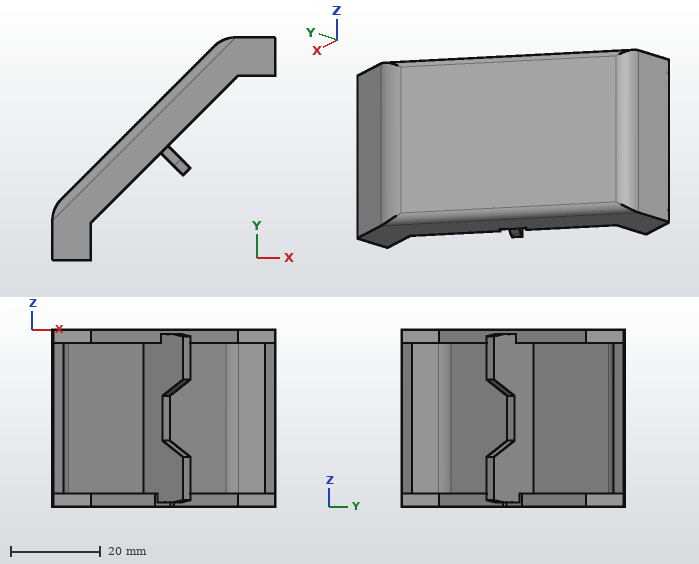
import cadquery as cq
import math

span = 49.85
height = 39.6

leg_depth = 8.65
leg_wall = 2.5
slant_wall = 3.0
flange_thickness = 3.0
end_chamfer = 0.25

slant_outer = 11.64
slant_inner = -0.3
slant_cavity = slant_outer - slant_wall * math.sqrt(2)

edge_radius = 2.0
bend_angle = math.radians(45)
corner_radius = edge_radius / (1 - math.cos(bend_angle))
cavity_radius = 4.0

tab_thickness = 2.3
tab_reach = 7.05
tab_taper_start = 4.1
tab_half_height = 18.8
tab_tip_half_height = 18.3
tab_gap_floor = 0.55
tab_gap_half_inner = 5.0
tab_gap_half_outer = 8.65

notch_width = 5.9
notch_depth = 1.0

flange_edge_to_face = (slant_outer - slant_inner) / math.sqrt(2)
cavity_floor = flange_edge_to_face - slant_wall


def mirrored(point):
    """Mirror a plan point across the diagonal x + y = span."""
    x, y = point
    return (span - y, span - x)


def corner_arc(wall_x, slant_offset, radius):
    """Start, middle and end of the arc joining the wall x = wall_x to y - x = slant_offset."""
    tangent_y = wall_x + slant_offset - radius * math.tan(bend_angle / 2)
    points = []
    for angle in (0, bend_angle / 2, bend_angle):
        x = wall_x + radius * (1 - math.cos(angle))
        y = tangent_y + radius * math.sin(angle)
        points.append((x, y))
    return points


def slant_plane():
    """Plane across the slant through the flange edge: local x outward, local y up."""
    middle = ((span - slant_inner) / 2, (span + slant_inner) / 2, 0)
    return cq.Plane(origin=middle, xDir=(-1, 1, 0), normal=(1, 1, 0))


def make_body():
    start, middle, end = corner_arc(0, slant_outer, corner_radius)
    inner_corner = (leg_depth, leg_depth + slant_inner)
    outline = (
        cq.Workplane("XY")
        .workplane(offset=-height / 2)
        .moveTo(leg_depth, 0)
        .lineTo(end_chamfer, 0)
        .lineTo(0, end_chamfer)
        .lineTo(*start)
        .threePointArc(middle, end)
        .lineTo(*mirrored(end))
        .threePointArc(mirrored(middle), mirrored(start))
        .lineTo(*mirrored((0, end_chamfer)))
        .lineTo(*mirrored((end_chamfer, 0)))
        .lineTo(*mirrored((leg_depth, 0)))
        .lineTo(*mirrored(inner_corner))
        .lineTo(*inner_corner)
        .close()
    )
    return outline.extrude(height)


def make_edge_rounding():
    """Long bar whose outer two edges are rounded; it trims the top and bottom slant edges."""
    bar = (
        cq.Workplane(slant_plane())
        .center(flange_edge_to_face - span / 2, 0)
        .rect(span, height)
        .extrude(span, both=True)
    )
    outward = cq.Vector(-1, 1, 0)
    along_slant = cq.Vector(1, 1, 0)
    outer_face = bar.faces(cq.selectors.DirectionMinMaxSelector(outward))
    return outer_face.edges(cq.selectors.ParallelDirSelector(along_slant)).fillet(edge_radius)


def make_cavity():
    start, middle, end = corner_arc(leg_wall, slant_cavity, cavity_radius)
    leg_end = (end_chamfer, 0)
    bevel_top = (leg_wall, leg_wall - end_chamfer)
    cavity_height = height - 2 * flange_thickness
    outline = (
        cq.Workplane("XY")
        .workplane(offset=-cavity_height / 2)
        .moveTo(*leg_end)
        .lineTo(*bevel_top)
        .lineTo(*start)
        .threePointArc(middle, end)
        .lineTo(*mirrored(end))
        .threePointArc(mirrored(middle), mirrored(start))
        .lineTo(*mirrored(bevel_top))
        .lineTo(*mirrored(leg_end))
        .lineTo(span, 0)
        .close()
    )
    return outline.extrude(cavity_height)


def make_notch():
    return (
        cq.Workplane(slant_plane())
        .center(0, -height / 2)
        .rect(2 * notch_depth, 2 * flange_thickness)
        .extrude(notch_width / 2, both=True)
    )


def make_tab():
    """Plate standing on the cavity floor, tapered at its tip and with a central gap."""
    root = cavity_floor + slant_wall / 2
    upper = [
        (-tab_gap_floor, tab_gap_half_inner),
        (-tab_reach, tab_gap_half_outer),
        (-tab_reach, tab_tip_half_height),
        (-tab_taper_start, tab_half_height),
        (root, tab_half_height),
    ]
    lower = [(v, -z) for v, z in reversed(upper)]
    return (
        cq.Workplane(slant_plane())
        .polyline(upper + lower)
        .close()
        .extrude(tab_thickness / 2, both=True)
    )


shell = make_body().intersect(make_edge_rounding()).cut(make_cavity()).cut(make_notch())
result = shell.union(make_tab())